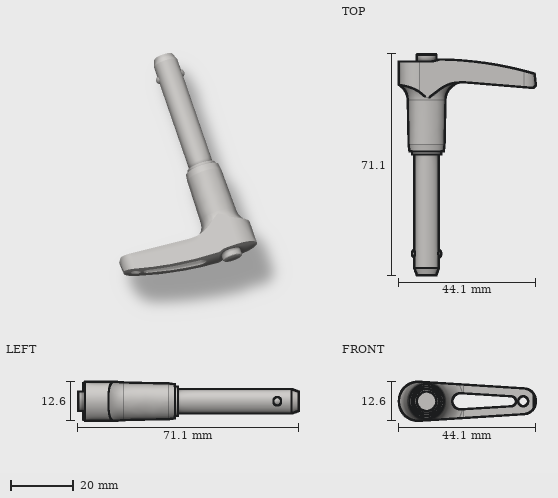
import cadquery as cq
import math


head_radius = 6.3
head_x = -2.6
end_radius = 4.2
end_x = 31.0

slot_start_x = 10.9
slot_start_radius = 2.55
slot_end_x = 27.2
slot_end_radius = 1.6
hole_x = 31.1
hole_radius = 1.6

head_top_y = 68.85
ramp_start_x = 1.8
crest_x = 4.4
crest_y = 69.5
back_mid_x = 19.85
back_mid_y = 68.2
end_top_x = 34.8
end_top_y = 64.85
end_face_x = 35.2
end_face_y = 61.15
end_bottom_x = 34.35
end_bottom_y = 60.25

neck_top_y = 56.4
neck_top_radius = 6.1
neck_bottom_y = 42.0
neck_bottom_radius = 5.8
neck_end_y = 39.9
neck_end_radius = 5.55
flare_radius = 5.7
flare_outer_radius = neck_top_radius + flare_radius
flare_top_y = neck_top_y + flare_radius

collar_end_y = 38.8
collar_radius = 4.8
pin_radius = 4.0
tip_radius = 3.1
tip_length = 2.35
ball_radius = 1.4
ball_reach = 4.8
ball_y = 7.0
button_top_y = 71.1
button_radius = 3.2
button_chamfer = 0.2


def tapered_outline(x1, radius1, x2, radius2):
    """Prism along Y whose section is two circles joined by tangent lines."""
    tangent_sine = (radius1 - radius2) / (x2 - x1)
    tangent_cosine = math.sqrt(1 - tangent_sine**2)
    start = (x1 + radius1 * tangent_sine, radius1 * tangent_cosine)
    end = (x2 + radius2 * tangent_sine, radius2 * tangent_cosine)
    return (
        cq.Workplane("XZ")
        .moveTo(*start)
        .lineTo(*end)
        .threePointArc((x2 + radius2, 0), (end[0], -end[1]))
        .lineTo(start[0], -start[1])
        .threePointArc((x1 - radius1, 0), start)
        .close()
        .extrude(-button_top_y)
    )


def handle_profile():
    """Side shape of head and arm, wider than the outline that trims it."""
    head_left_x = head_x - head_radius
    return (
        cq.Workplane("XY")
        .moveTo(head_left_x, flare_top_y)
        .lineTo(head_left_x, head_top_y)
        .lineTo(ramp_start_x, head_top_y)
        .spline([(crest_x, crest_y)], tangents=[(1, 0), (1, 0)], includeCurrent=True)
        .threePointArc((back_mid_x, back_mid_y), (end_top_x, end_top_y))
        .lineTo(end_face_x, end_face_y)
        .lineTo(end_bottom_x, end_bottom_y)
        .lineTo(flare_outer_radius, flare_top_y)
        .close()
        .extrude(head_radius, both=True)
    )


def neck_flare():
    """Concave flare, turned about the pin axis."""
    arc_offset = flare_radius * math.sqrt(0.5)
    arc_middle = (flare_outer_radius - arc_offset, neck_top_y + arc_offset)
    return (
        cq.Workplane("XY")
        .moveTo(0, neck_top_y)
        .lineTo(neck_top_radius, neck_top_y)
        .threePointArc(arc_middle, (flare_outer_radius, flare_top_y))
        .lineTo(0, flare_top_y)
        .close()
        .revolve(360, (0, 0), (0, 1))
    )


def turned_pin():
    """Pin, collar and neck turned about Y."""
    return (
        cq.Workplane("XY")
        .polyline([
            (0, 0),
            (tip_radius, 0),
            (pin_radius, tip_length),
            (pin_radius, collar_end_y),
            (collar_radius, collar_end_y),
            (collar_radius, neck_end_y),
            (neck_end_radius, neck_end_y),
            (neck_bottom_radius, neck_bottom_y),
            (neck_top_radius, neck_top_y),
            (0, neck_top_y),
        ])
        .close()
        .revolve(360, (0, 0), (0, 1))
    )


def release_button():
    """Button rising out of the head on the pin axis."""
    return (
        cq.Workplane("XZ", origin=(0, flare_top_y, 0))
        .circle(button_radius)
        .extrude(flare_top_y - button_top_y)
        .faces(">Y")
        .chamfer(button_chamfer)
    )


handle = handle_profile().union(neck_flare())
handle = handle.intersect(tapered_outline(head_x, head_radius, end_x, end_radius))
handle = handle.cut(tapered_outline(slot_start_x, slot_start_radius, slot_end_x, slot_end_radius))
handle = handle.cut(cq.Workplane("XZ").center(hole_x, 0).circle(hole_radius).extrude(-button_top_y))

result = handle.union(turned_pin()).union(release_button())
for side in (-1, 1):
    ball_x = side * (ball_reach - ball_radius)
    result = result.union(cq.Workplane("XY").sphere(ball_radius).translate((ball_x, ball_y, 0)))